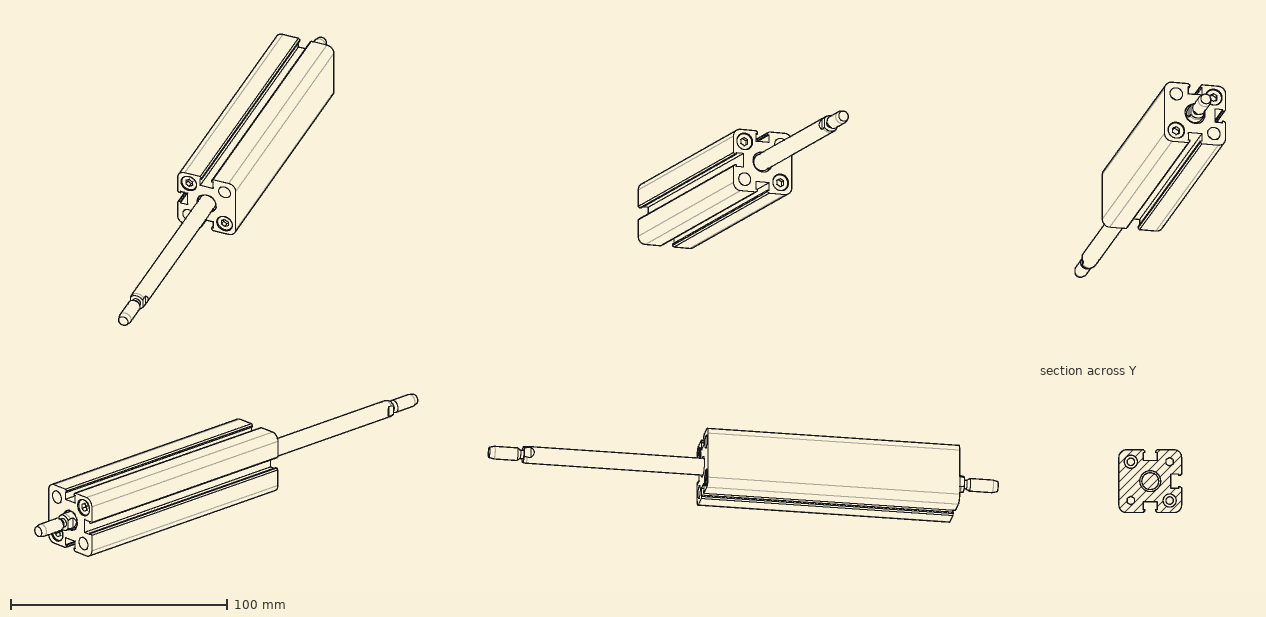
import cadquery as cq

overall_length = 239.0
body_width = 29.2
body_front = -19.1
body_length = 118.3
body_rear = body_front + body_length
body_middle = (body_front + body_rear) / 2
corner_radius = 3.5
cap_length = 12.5

slot_width = 6.5
lip_gap = 5.0
lip_bevel = 0.7
lip_depth = 1.5
slot_depth = 5.0

rod_diameter = 8.0
rod_end_inset = 16.0
rod_end_diameter = 7.5
rod_end_taper = 1.5
flats_width = 6.2
flats_length = 3.0
flats_runout = 1.5

thread_diameter = 6.0
tip_diameter = 4.8
tip_length = 2.5
thread_length = 10.8
neck_diameter = 4.0
neck_taper = 1.5

rod_recess_diameter = 9.5
rod_recess_depth = 1.2

hole_spacing = 18.0
hole_offset = hole_spacing / 2
through_diameter = 3.3
counterbore_diameter = 6.0
screw_recess_diameter = 8.0
screw_head_diameter = 7.5
screw_recess_depth = 0.5
socket_width = 3.3
socket_depth = 2.5


def cylinder(diameter, start, length, x=0.0, z=0.0):
    """Cylinder along +Y that starts at the given Y."""
    return cq.Workplane("XZ", origin=(x, start, z)).circle(diameter / 2).extrude(-length)


def mirrored_on_body(shape):
    """The same shape at both body ends."""
    return shape.union(shape.mirror("XZ", (0, body_middle, 0)))


def make_body():
    block = cq.Workplane("XY").box(body_width, body_length, body_width).edges("|Y").fillet(corner_radius)
    return block.translate((0, body_middle, 0))


def make_slot():
    """Cutter for the slot in the +Z side: bevelled mouth, narrow lip, then the full width."""
    top = body_width / 2
    half_width = slot_width / 2
    half_gap = lip_gap / 2
    right_side = [
        (half_width, top),
        (half_gap, top - lip_bevel),
        (half_gap, top - lip_depth),
        (half_width, top - lip_depth),
        (half_width, top - slot_depth),
    ]
    left_side = [(-x, z) for x, z in reversed(right_side)]
    outline = cq.Workplane("XZ", origin=(0, body_front, 0)).polyline(right_side + left_side).close()
    return outline.extrude(-body_length)


def make_through_hole(x, z):
    """Bore along the whole body, counterbored at both ends."""
    bore = cylinder(through_diameter, body_front, body_length, x, z)
    return bore.union(mirrored_on_body(cylinder(counterbore_diameter, body_front, cap_length, x, z)))


def make_screw_recess(x, z):
    """Shallow conical rim down to a screw head with a hexagon socket, at both ends."""
    recess = cq.Workplane("XZ", origin=(x, body_front, z)).circle(screw_recess_diameter / 2)
    recess = recess.workplane(offset=-screw_recess_depth).circle(screw_head_diameter / 2).loft(ruled=True)
    socket_floor = screw_recess_depth + socket_depth
    socket = cq.Workplane("XZ", origin=(x, body_front, z))
    socket = socket.polygon(6, socket_width, circumscribed=True).extrude(-socket_floor)
    return mirrored_on_body(recess.union(socket))


def make_rod():
    """Full rod, turned about the Y axis, with both studs."""
    end = overall_length / 2
    thread_start = end - tip_length
    thread_end = thread_start - thread_length
    rod_end = end - rod_end_inset
    half_profile = [
        (0, end),
        (tip_diameter / 2, end),
        (thread_diameter / 2, thread_start),
        (thread_diameter / 2, thread_end),
        (neck_diameter / 2, thread_end - neck_taper),
        (neck_diameter / 2, rod_end),
        (rod_end_diameter / 2, rod_end),
        (rod_diameter / 2, rod_end - rod_end_taper),
    ]
    other_half = [(radius, -y) for radius, y in reversed(half_profile)]
    profile = cq.Workplane("XY").polyline(half_profile + other_half).close()
    return profile.revolve(360, (0, 0, 0), (0, 1, 0))


def make_wrench_flat():
    """Cutter for the flat on the +X side of the +Y rod end, with a sloped run-out."""
    rod_end = overall_length / 2 - rod_end_inset
    flat_start = rod_end - flats_length
    inner = flats_width / 2
    outer = rod_diameter / 2
    outline = [(inner, rod_end), (inner, flat_start), (outer, flat_start - flats_runout), (outer, rod_end)]
    return cq.Workplane("XY").polyline(outline).close().extrude(outer, both=True)


body = make_body()
slot = make_slot()
for angle in (0, 180, 270):
    body = body.cut(slot.rotate((0, 0, 0), (0, 1, 0), angle))
for side in (1, -1):
    body = body.cut(make_through_hole(side * hole_offset, side * hole_offset))
    body = body.cut(make_screw_recess(-side * hole_offset, side * hole_offset))
body = body.cut(mirrored_on_body(cylinder(rod_recess_diameter, body_front, rod_recess_depth)))

rod = make_rod()
flat = make_wrench_flat()
for cutter in (flat, flat.mirror("YZ")):
    rod = rod.cut(cutter).cut(cutter.mirror("XZ"))

result = body.union(rod)